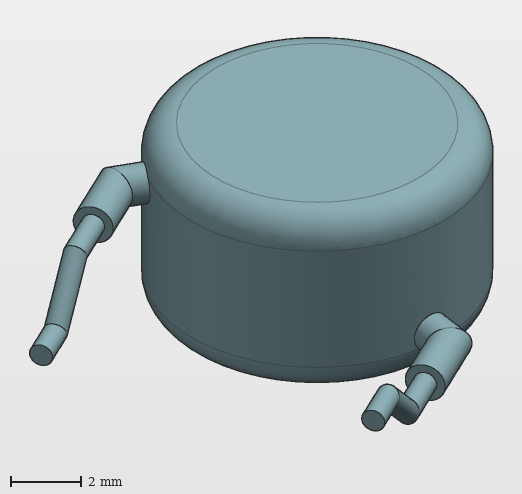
import cadquery as cq
import math

disc_diameter = 10.0
disc_height = 6.0
edge_radius = 1.0

lead_pitch = disc_diameter
lead_height = 1.6
sleeve_diameter = 1.2
wire_diameter = 0.7
stub_angle = 35.0
stub_length = 2.03

sleeve_bend_reach = 3.0
sleeve_end_reach = disc_diameter / 2
crank_start_reach = 6.54
crank_end_reach = 8.24
tip_reach = 9.5

lead_sides = [(-1, 1), (1, -1)]


def buried_points(side_x, side_z):
    """Centre-line points of the stub: its end inside the disc, then the sleeve bend."""
    bend_x = lead_pitch / 2
    root_x = bend_x - stub_length * math.cos(math.radians(stub_angle))
    root_y = -sleeve_bend_reach + stub_length * math.sin(math.radians(stub_angle))
    z = side_z * lead_height
    return [(side_x * root_x, root_y, z), (side_x * bend_x, -sleeve_bend_reach, z)]


def sleeve_points(side_x, side_z):
    """Centre line of the coating sleeve around one lead."""
    end = (side_x * lead_pitch / 2, -sleeve_end_reach, side_z * lead_height)
    return buried_points(side_x, side_z) + [end]


def wire_points(side_x, side_z):
    """Centre line of one wire, cranked to mid-height in front of its sleeve."""
    x = side_x * lead_pitch / 2
    z = side_z * lead_height
    crank_start = (x, -crank_start_reach, z)
    crank_end = (x, -crank_end_reach, 0)
    tip = (x, -tip_reach, 0)
    return buried_points(side_x, side_z) + [crank_start, crank_end, tip]


def round_bar(points, diameter):
    """Round bar along straight segments, with mitred bends."""
    start = cq.Vector(*points[0])
    direction = cq.Vector(*points[1]) - start
    path = cq.Workplane("XY").polyline(points)
    section = cq.Workplane(cq.Plane(origin=start, normal=direction)).circle(diameter / 2)
    return section.sweep(path, transition="right").solids()


def make_wire(side_x, side_z):
    """Bare wire running through its sleeve into the disc."""
    return round_bar(wire_points(side_x, side_z), wire_diameter)


def make_housing(wires):
    """Coated disc with its two sleeves, hollowed where the wires run."""
    body = cq.Workplane("XY").cylinder(disc_height, disc_diameter / 2)
    body = body.edges("%CIRCLE").fillet(edge_radius)
    for side_x, side_z in lead_sides:
        body = body.union(round_bar(sleeve_points(side_x, side_z), sleeve_diameter))
    for wire in wires:
        body = body.cut(wire)
    return body.solids()


wires = [make_wire(side_x, side_z) for side_x, side_z in lead_sides]
housing = make_housing(wires)

result = cq.Compound.makeCompound([housing.val(), *[wire.val() for wire in wires]])